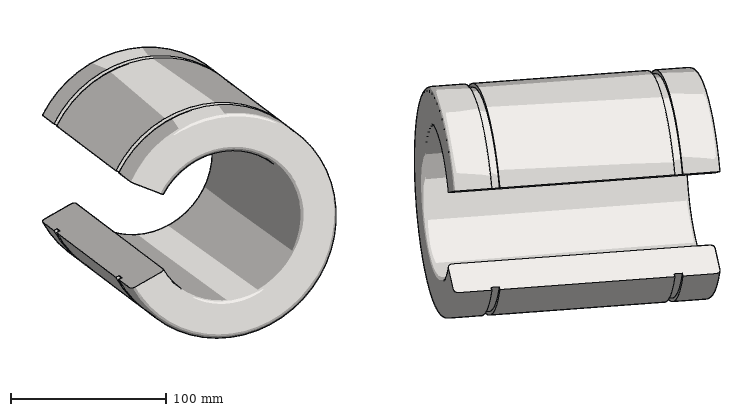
import cadquery as cq
import math

length = 175.0
outer_diameter = 150.0
bore_diameter = 100.0
edge_round = 3.2

groove_start = 24.8
groove_width = 5.2
groove_diameter = 145.0

opening_at_bore = 50.0
flank_angle = 25.0

outer_radius = outer_diameter / 2
bore_radius = bore_diameter / 2


def make_sleeve():
    """Plain tube with rounded inner and outer rims at both ends."""
    tube = (
        cq.Workplane("YZ")
        .circle(outer_radius)
        .circle(bore_radius)
        .extrude(length / 2, both=True)
    )
    return tube.faces("<X or >X").edges().fillet(edge_round)


def make_groove(start_x):
    """Ring of material to remove for one groove, starting at start_x."""
    return (
        cq.Workplane("YZ", origin=(start_x, 0, 0))
        .circle(outer_radius + groove_width)
        .circle(groove_diameter / 2)
        .extrude(groove_width)
    )


def make_opening():
    """Wedge that opens the sleeve, widening outward from the bore."""
    half_gap = opening_at_bore / 2
    slope = math.tan(math.radians(flank_angle))
    lip_y = -math.sqrt(bore_radius**2 - half_gap**2)
    apex_y = lip_y + half_gap / slope
    far_y = -outer_diameter
    far_half_gap = (apex_y - far_y) * slope
    return (
        cq.Workplane("YZ")
        .polyline([(apex_y, 0), (far_y, far_half_gap), (far_y, -far_half_gap)])
        .close()
        .extrude(length / 2, both=True)
    )


result = make_sleeve()
left_groove_x = -length / 2 + groove_start
right_groove_x = length / 2 - groove_start - groove_width
for groove_x in (left_groove_x, right_groove_x):
    result = result.cut(make_groove(groove_x))
result = result.cut(make_opening())